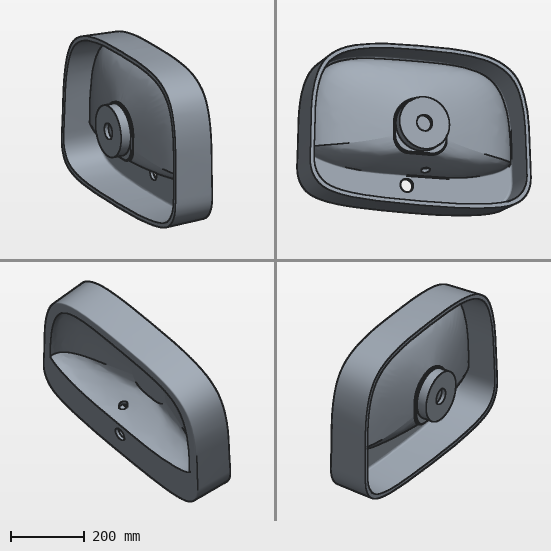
import cadquery as cq
import math


half_width = 319.0
half_height = 223.5
rim_reach = 124.5
foot_depth_top = 111.0
foot_depth_bottom = 120.5
wall = 11.5
draft = 4.5
rim_round = 4.0
deck_thickness = 11.0
cavity_round = 6.5

bowl_depth = 115.0
bowl_thickness = 9.5
deck_blend = 3.0
bowl_levels = 6
mouth_half_width = 295.0
mouth_top = 199.0
mouth_corner = -65.0
mouth_bottom = -117.0
floor_half_width = 76.5
floor_top = 76.5
floor_corner = -34.0
floor_bottom = -76.5
belly_reach = 0.8
belly_fullness = 0.6
belly_steepness = 2.0
mouth_squareness = 3.8
floor_squareness = 2.0

boss_radius = 72.0
boss_depth = 150.0
bore_radius = 22.5
bore_depth = 13.0
collar_depth = 120.5
collar_radius = 76.5
collar_bottom = -79.0
collar_corner = 45.0
collar_chamfer = 3.0

tap_radius = 18.5
tap_z = -144.0
overflow_radius = 12.0
overflow_x = 40.0
overflow_depth = 48.0
overflow_length = 32.0


def at_depth(depth):
    """Workplane facing -Y at the given depth; local x is X and local y is Z."""
    return cq.Workplane("XZ", origin=(0, -depth, 0))


def loft(wires, ruled):
    return cq.Workplane(obj=cq.Solid.makeLoft(wires, ruled))


def symmetric_outline(half_curves, depth):
    """Closed wire from curves (points, end tangents) down the +X half, mirrored to the -X half."""
    right = []
    left = []
    for points, tangents in half_curves:
        ends = [cq.Vector(x, 0, z) for x, z in tangents]
        mirrored_ends = [cq.Vector(x, 0, -z) for x, z in reversed(tangents)]
        right.append(cq.Edge.makeSpline([cq.Vector(x, -depth, z) for x, z in points], tangents=ends))
        mirrored = [cq.Vector(-x, -depth, z) for x, z in reversed(points)]
        left.insert(0, cq.Edge.makeSpline(mirrored, tangents=mirrored_ends))
    return cq.Wire.assembleEdges(right + left)


def rim_outline(depth, inset):
    """Outline of the rim: a high arched top, full sides and a flatter bottom."""
    half = [
        (0, half_height), (144.0, 217.5), (223.5, 199.0), (276.0, 161.5), (302.0, 106.5), (315.0, 25.5),
        (318.0, -83.0), (314.0, -153.0), (292.5, -186.0), (242.5, -208.0), (140.5, -220.0), (0, -half_height),
    ]
    x_scale = (half_width - inset) / half_width
    z_scale = (half_height - inset) / half_height
    scaled = [(x * x_scale, z * z_scale) for x, z in half]
    return symmetric_outline([(scaled, [(1, 0), (-1, 0)])], depth)


def rim_block(top_depth, inset):
    """Drafted block inside the rim outline, from the given depth to the end of the wall."""
    lean = draft * (1 - top_depth / rim_reach)
    return loft([rim_outline(top_depth, inset + lean), rim_outline(rim_reach, inset)], True)


def rim():
    body = rim_block(0, 0).faces(">Y").edges().fillet(rim_round)
    cavity = rim_block(deck_thickness, wall).faces(">Y").edges().fillet(cavity_round)
    below_foot = (
        cq.Workplane("YZ")
        .polyline([
            (-foot_depth_top, half_height), (-foot_depth_bottom, -half_height),
            (-2 * rim_reach, -half_height), (-2 * rim_reach, half_height),
        ])
        .close()
        .extrude(2 * half_width, both=True)
    )
    return body.cut(cavity).cut(below_foot)


def bowl_section(level, inset, depth):
    """Bowl outline at level 0 (mouth) to 1 (floor): an arch above, a belly below, corners between."""
    spread = 1 - level**3
    belly_spread = 1 - level**1.5
    corner_spread = 1 - (1 - spread) ** 2
    squareness = floor_squareness + (mouth_squareness - floor_squareness) * spread
    half = floor_half_width + (mouth_half_width - floor_half_width) * spread - inset
    top = floor_top + (mouth_top - floor_top) * spread - inset
    corner = floor_corner + (mouth_corner - floor_corner) * corner_spread
    bottom = floor_bottom + (mouth_bottom - floor_bottom) * belly_spread + inset

    shoulder = 0.5 ** (1 / squareness)
    shoulder_z = corner + (top - corner) * shoulder
    belly_z = corner + (bottom - corner) * belly_fullness
    arch = [(0, top), (half * shoulder, shoulder_z), (half, corner)]
    belly = [(half, corner), (half * belly_reach, belly_z), (0, bottom)]
    belly_start = (-half * (1 - belly_reach), belly_steepness * (belly_z - corner))
    return symmetric_outline([(arch, [(1, 0), (0, -1)]), (belly, [belly_start, (-1, 0)])], depth)


def bowl_body(start_depth, end_depth, inset):
    sections = []
    for index in range(bowl_levels):
        level = math.sin(math.pi / 2 * index / (bowl_levels - 1))
        depth = start_depth + (end_depth - start_depth) * level
        sections.append(bowl_section(level, inset, depth))
    return loft(sections, False)


def collar():
    straight = (
        at_depth(bowl_depth - bowl_thickness)
        .moveTo(-collar_radius, 0)
        .threePointArc((0, collar_radius), (collar_radius, 0))
        .lineTo(collar_radius, collar_bottom)
        .lineTo(-collar_radius, collar_bottom)
        .close()
        .extrude(collar_depth - bowl_depth + bowl_thickness)
    )
    return straight.edges("|Y and <Z").fillet(collar_corner).faces("<Y").chamfer(collar_chamfer)


def boss():
    start = bowl_depth - bowl_thickness
    return at_depth(start).circle(boss_radius).extrude(boss_depth - start)


def holes():
    bore = at_depth(boss_depth - bore_depth).circle(bore_radius).extrude(bore_depth)
    tap = at_depth(0).center(0, tap_z).circle(tap_radius).extrude(deck_thickness)
    overflow = (
        cq.Workplane("XY", origin=(overflow_x, -overflow_depth, mouth_bottom))
        .circle(overflow_radius)
        .extrude(overflow_length)
    )
    return bore.union(tap).union(overflow)


def rim_with_bowl():
    """Rim and solid bowl, with the belly of the bowl blended into the underside of the deck."""
    body = rim().union(bowl_body(deck_thickness / 2, bowl_depth, 0))
    belly_band = cq.selectors.BoxSelector(
        (-half_width, -deck_thickness - 0.5, mouth_bottom),
        (half_width, -deck_thickness + 0.5, mouth_corner - 6.5),
    )
    return body.edges(belly_band).fillet(deck_blend)


bowl_inside = bowl_body(0, bowl_depth - bowl_thickness, bowl_thickness)
result = rim_with_bowl().union(collar()).union(boss()).cut(bowl_inside).cut(holes())